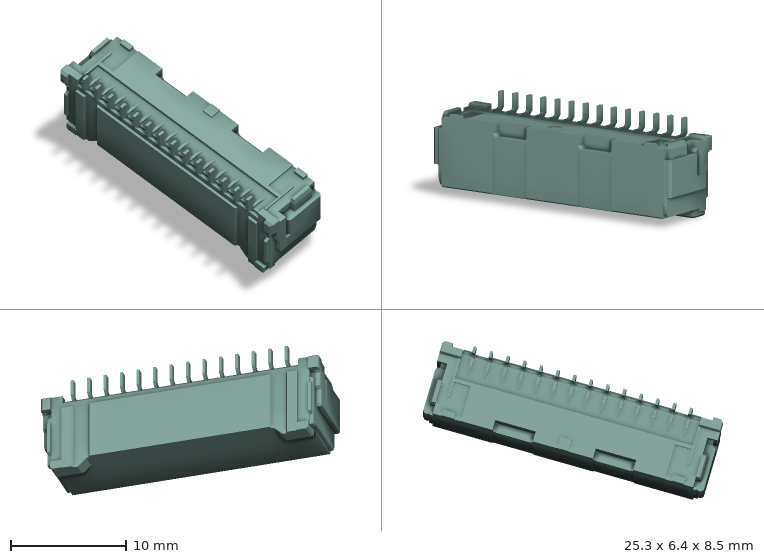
import cadquery as cq

length = 25.3
depth = 6.4
height = 8.5
half_length = length / 2

body_half = 11.75
wall_front = 0.33
body_bottom = 0.75
end_top = 6.93
deck_top = 7.1
raised_top = 7.25
edge_break = 0.13

pin_count = 14
pin_row_length = 19.5
pin_pitch = pin_row_length / (pin_count - 1)
pin_width = 0.25
pin_depth = 0.58
pin_bottom = 6.53
pin_bend_top = 7.08
pin_lead_top = 7.03
pin_lead_flat_end = 1.5
pin_lead_slope = (1.87, 6.93)
pin_lead_end = 2.33
pin_bend = 0.18
ledge_half = 10.73
rail_back = 0.63
ledge_top = 6.8
ledge_back = 2.9

end_inner = 9.2
end_front = 3.25
rib_width = 0.18
rib_back = 4.68

centre_block_width = 1.0
centre_block_depth = 1.05
end_block_outer = 10.93
end_block_inner = 9.8
end_block_depth = 0.53

window_centre = 4.53
window_width = 3.65
window_front = 5.5
window_depth = 1.26
window_bevel = 0.3
floor_setback = 0.08

panel_top = 5.97
panel_front = 0.08
panel_half = 8.35
panel_slope = 0.15
pad_inner = 9.66
pad_slope = 0.15

foot_inner = 9.34
foot_slope_end = 8.53
foot_back = 1.7
foot_break = 0.18
foot_fillet = 0.2
foot_pad_inner = 10.63

inner_face = 12.12
inner_front = 0.4
inner_bottom = 0.9
inner_tab_bottom = 0.6
inner_tab_back = 1.0
side_bottom = 2.73
side_top = 5.95
side_back_break = 0.2
inner_back_break = 0.13
side_taper_top = 2.02
side_taper_low = 1.26
side_taper = 0.18
side_corner = 0.38
notch_back = 0.78
notch_recess = 0.1
notch_face = 12.25
notch_bottom = 5.1
notch_slope = 0.23
notch_break_depth = 0.23
notch_break_height = 0.13
waist_back = 1.1
waist_low = 2.99
waist_high = 4.3
shoulder = 4.55
side_toe = 1.25
slot_front = 1.85
slot_back = 2.45
slot_bottom = 4.0
gusset_back = 2.2
gusset_face = 12.3
gusset_top = 6.38
gusset_low = 6.07

corner_back = 1.15
corner_top_back = 0.99
corner_side_break = 0.2
corner_top_break = 0.2
corner_edge_break = 0.08
corner_front_break = 0.25

flange_face = 12.05
flange_bottom = 1.55
flange_top = 4.73
flange_slope = 0.2

clip_face = 12.22
clip_front = 3.36
clip_back = 5.62
clip_shoulder = 6.85
clip_top = 7.3
clip_taper = 0.13


def box(x0, x1, y0, y1, z0, z1):
    """Box given by its limits along each axis."""
    return cq.Workplane("XY").box(x1 - x0, y1 - y0, z1 - z0, centered=False).translate((x0, y0, z0))


def along_x(points, x0, x1):
    """Profile of (Y, Z) points extruded from x0 to x1."""
    return cq.Workplane("YZ", origin=(x0, 0, 0)).polyline(points).close().extrude(x1 - x0)


def along_y(points, y0, y1):
    """Profile of (X, Z) points extruded from y0 to y1."""
    return cq.Workplane("XZ", origin=(0, y0, 0)).polyline(points).close().extrude(y0 - y1)


def along_z(points, z0, z1):
    """Profile of (X, Y) points extruded from z0 to z1."""
    return cq.Workplane("XY", origin=(0, 0, z0)).polyline(points).close().extrude(z1 - z0)


def both_ends(left):
    """Left-hand feature together with its mirror image."""
    return left.union(left.mirror("YZ"))


def make_housing():
    """Stepped block with lowered deck ends, a recessed pin ledge and two rear windows."""
    profile = [
        (wall_front, body_bottom),
        (depth - edge_break, body_bottom),
        (depth, body_bottom + edge_break),
        (depth, deck_top),
        (wall_front, deck_top),
    ]
    housing = along_x(profile, -body_half, body_half)

    rib_outer = ledge_half + rib_width
    above = height
    lowered_rear = box(-body_half, -end_inner, end_front, depth, end_top, above)
    lowered_side = box(-body_half, -ledge_half, 0, end_front, end_top, above)
    rib = box(-rib_outer, -ledge_half, corner_back, rib_back, end_top, deck_top)
    housing = housing.cut(both_ends(lowered_rear.union(lowered_side))).union(both_ends(rib))

    ledge = box(-ledge_half, ledge_half, 0, ledge_back, ledge_top, above)
    rail = box(-ledge_half, ledge_half, 0, rail_back, pin_bottom, above)
    housing = housing.cut(ledge).cut(rail)

    window_left = -window_centre - window_width / 2
    window_right = -window_centre + window_width / 2
    window_floor = deck_top - window_depth
    window_outline = [
        (window_left, deck_top),
        (window_left, window_floor + window_bevel),
        (window_left + window_bevel, window_floor),
        (window_right - window_bevel, window_floor),
        (window_right, window_floor + window_bevel),
        (window_right, deck_top),
    ]
    window = along_y(window_outline, window_front, depth)
    rear_relief = box(window_left, window_right, depth - floor_setback, depth, body_bottom, deck_top)
    return housing.cut(both_ends(window.union(rear_relief)))


def make_deck_blocks():
    """Centre and end blocks along the rear edge of the deck."""
    half_width = centre_block_width / 2
    centre = box(-half_width, half_width, depth - centre_block_depth, depth, end_top, raised_top)
    end = box(-end_block_outer, -end_block_inner, depth - end_block_depth, depth, end_top, raised_top)
    return centre.union(both_ends(end))


def make_front_panels():
    """Wide centre panel and a narrow pad near each end, with sloped edges."""
    panel = along_z(
        [
            (-panel_half, wall_front),
            (-panel_half + panel_slope, panel_front),
            (panel_half - panel_slope, panel_front),
            (panel_half, wall_front),
        ],
        body_bottom,
        panel_top,
    )
    pad = along_z(
        [
            (-ledge_half, wall_front),
            (-ledge_half, panel_front),
            (-pad_inner - pad_slope, panel_front),
            (-pad_inner, wall_front),
        ],
        0,
        panel_top,
    )
    return panel.union(both_ends(pad))


def make_foot():
    """Left foot with its sloped inner end, rear fillet and thicker corner pad."""
    outline = [
        (-body_half, body_bottom),
        (-body_half, foot_break),
        (-body_half + foot_break, 0),
        (-foot_inner, 0),
        (-foot_slope_end, body_bottom),
    ]
    foot = along_y(outline, wall_front, foot_back)
    foot = foot.faces(">Y").edges("<Z").chamfer(foot_break)
    fillet = (
        cq.Workplane("YZ", origin=(-body_half, 0, 0))
        .moveTo(foot_back, body_bottom)
        .lineTo(foot_back, body_bottom - foot_fillet)
        .radiusArc((foot_back + foot_fillet, body_bottom), foot_fillet)
        .close()
        .extrude(body_half - foot_inner)
    )
    pad_outline = [
        (-body_half, body_bottom),
        (-body_half, foot_break),
        (-body_half + foot_break, 0),
        (-foot_pad_inner, 0),
        (-foot_pad_inner, body_bottom),
    ]
    return foot.union(fillet).union(along_y(pad_outline, 0, wall_front))


def make_side_plate():
    """Left side: inner layer, slotted outer plate, slot floor, sloped gusset and column."""
    inner = along_x(
        [
            (inner_front, inner_tab_bottom),
            (inner_tab_back, inner_tab_bottom),
            (inner_tab_back, inner_bottom),
            (depth - side_corner, inner_bottom),
            (depth - side_taper, side_taper_low),
            (depth, side_taper_top),
            (depth, side_top),
            (inner_front, side_top),
        ],
        -inner_face,
        -body_half,
    )
    inner = inner.faces(">Y").edges("<X").chamfer(inner_back_break)
    notch = along_y(
        [
            (-notch_face, notch_bottom),
            (-body_half, notch_bottom + notch_slope),
            (-body_half, side_top),
            (-notch_face, side_top),
        ],
        0,
        notch_back + notch_recess,
    )
    outer = along_x(
        [
            (side_toe, side_bottom),
            (depth, side_bottom),
            (depth, side_top),
            (slot_back, side_top),
            (slot_back, slot_bottom),
            (slot_front, slot_bottom),
            (slot_front, end_top),
            (notch_back - notch_break_depth, end_top),
            (notch_back - notch_break_depth, side_top),
            (notch_back, side_top - notch_break_height),
            (notch_back, shoulder),
            (waist_back, waist_high),
            (waist_back, waist_low),
        ],
        -half_length,
        -inner_face,
    )
    outer = outer.faces(">Y").edges("<X").chamfer(side_back_break)
    column = box(-inner_face, -body_half, notch_back, slot_front, side_top, end_top)
    slot_floor = along_z(
        [
            (-half_length, slot_back),
            (-gusset_face, gusset_back),
            (-gusset_face, slot_front),
            (-body_half, slot_front),
            (-body_half, slot_back),
        ],
        slot_bottom,
        side_top,
    )
    gusset = along_x(
        [
            (slot_front, side_top),
            (gusset_back, side_top),
            (gusset_back, gusset_low),
            (slot_front, gusset_top),
        ],
        -gusset_face,
        -body_half,
    )
    return inner.union(outer).union(slot_floor).union(gusset).union(column).cut(notch)


def make_corner_block():
    """Left corner block, bevelled at the front, and the raised top it shares with the housing."""
    top_profile = [
        (wall_front, end_top),
        (corner_back, end_top),
        (corner_top_back, raised_top),
        (wall_front, raised_top),
    ]
    top = along_x(top_profile, -half_length, -ledge_half)
    block_profile = [
        (0, panel_top),
        (corner_back, panel_top),
        (corner_back, end_top),
        (corner_top_back, raised_top),
        (corner_front_break, raised_top),
        (0, raised_top - corner_top_break),
    ]
    block = along_x(block_profile, -half_length, -body_half)
    side_bevel = along_z(
        [
            (-half_length, 0),
            (-half_length + corner_side_break, 0),
            (-half_length, corner_front_break),
        ],
        panel_top,
        raised_top,
    )
    top_bevel = along_y(
        [
            (-half_length, raised_top - corner_edge_break),
            (-half_length + corner_edge_break, raised_top),
            (-half_length, raised_top),
        ],
        0,
        corner_back,
    )
    return top.union(block).cut(side_bevel).cut(top_bevel)


def make_flange():
    """Left flange with sloped ends, in front of the inner layer."""
    profile = [
        (inner_front, flange_bottom),
        (0, flange_bottom + flange_slope),
        (0, flange_top - flange_slope),
        (inner_front, flange_top),
    ]
    return along_x(profile, -flange_face, -body_half)


def make_clip():
    """Left clip, tapered at the top on its three free sides."""
    side_profile = along_x(
        [
            (clip_front, side_top),
            (clip_back, side_top),
            (clip_back, clip_shoulder),
            (clip_back - clip_taper, clip_top),
            (clip_front + clip_taper, clip_top),
            (clip_front, clip_shoulder),
        ],
        -clip_face,
        -body_half,
    )
    end_profile = along_y(
        [
            (-clip_face, side_top),
            (-body_half, side_top),
            (-body_half, clip_top),
            (-clip_face + clip_taper, clip_top),
            (-clip_face, clip_shoulder),
        ],
        clip_front,
        clip_back,
    )
    return side_profile.intersect(end_profile)


def make_pin(x):
    """Pin lying on the ledge and bent upright at the front."""
    profile = [
        (pin_depth, pin_bottom),
        (rail_back, ledge_top),
        (pin_lead_end, ledge_top),
        pin_lead_slope,
        (pin_lead_flat_end, pin_lead_top),
        (pin_depth + pin_bend, pin_lead_top),
        (pin_depth, pin_lead_top + pin_bend),
        (pin_depth, height),
        (0, height),
        (0, pin_bend_top),
    ]
    return along_x(profile, x - pin_width / 2, x + pin_width / 2)


result = make_housing().union(make_deck_blocks()).union(make_front_panels())
for left_feature in (make_foot(), make_side_plate(), make_corner_block(), make_flange(), make_clip()):
    result = result.union(both_ends(left_feature))
for index in range(pin_count):
    result = result.union(make_pin(index * pin_pitch - pin_row_length / 2))